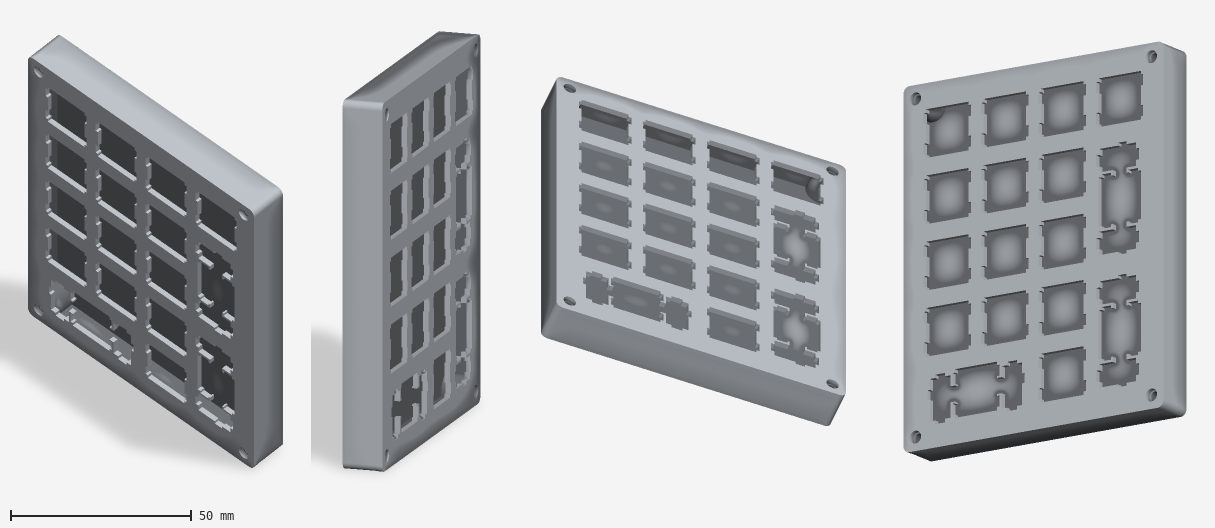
import cadquery as cq
WIDTH = 86.2
HEIGHT = 105.2
DEPTH = 11.6
PLATE_THICKNESS = 1.6
CORNER_RADIUS = 2.0

CASE_BOTTOM_GAP = 0.1

CASE_WALL = 3.0
CASE_FLOOR = 3.0
BOSS_RADIUS = 4.7

SCREW_INSET = 4.0
PLATE_HOLE_DIAMETER = 3.7
CASE_HOLE_DIAMETER = 2.7

KEY_PITCH = 19.0
LEFT_COLUMNS = (-1.5, -0.5, 0.5)
FULL_ROWS = (-1, 0, 1, 2)
SINGLE_KEYS = [(column, row) for column in LEFT_COLUMNS for row in FULL_ROWS] + [(1.5, 2), (0.5, -2)]
WIDE_KEYS = [(-1, -2)]
TALL_KEYS = [(1.5, 0.5), (1.5, -1.5)]

SWITCH_SIZE = 14.0
NOTCH_DEPTH = 0.8
NOTCH_HEIGHT = 3.2
NOTCH_OFFSET = 4.4

STABILIZER_OFFSET = 11.9
STABILIZER_WIDTH = 6.7
STABILIZER_TOP = 5.5
STABILIZER_BOTTOM = -6.7
CLIP_WIDTH = 3.3
CLIP_TOP = 6.4
CLIP_BOTTOM = -7.8
BRIDGE_HALF_HEIGHT = 2.3
SIDE_CLIP_REACH = 4.2
SIDE_CLIP_BOTTOM = -0.5

PLATE_BACK = PLATE_THICKNESS
CAVITY_BACK = DEPTH - CASE_FLOOR
SCREW_X = WIDTH / 2 - SCREW_INSET
SCREW_Z = HEIGHT / 2 - SCREW_INSET
SCREW_POINTS = [(x, z) for x in (-SCREW_X, SCREW_X) for z in (-SCREW_Z, SCREW_Z)]


def block(x_min, x_max, z_min, z_max, y_min=0.0, y_max=PLATE_THICKNESS):
    """Box given by its limits; by default it spans the plate thickness."""
    size = (x_max - x_min, y_max - y_min, z_max - z_min)
    return cq.Workplane("XY").box(*size, centered=False).translate((x_min, y_min, z_min))


def rounded_slab(z_min, y_min, y_max):
    """Slab of full width from z_min to the top, with its four corners rounded."""
    slab = block(-WIDTH / 2, WIDTH / 2, z_min, HEIGHT / 2, y_min, y_max)
    return slab.edges("|Y").fillet(CORNER_RADIUS)


def corner_cylinders(radius, y_min, y_max):
    """One cylinder along Y at each screw position."""
    plane = cq.Workplane("XZ", origin=(0, y_min, 0))
    return plane.pushPoints(SCREW_POINTS).circle(radius).extrude(y_min - y_max)


def switch_cutter():
    """Switch opening centred on the origin."""
    half = SWITCH_SIZE / 2
    reach = half + NOTCH_DEPTH
    cutter = block(-half, half, -half, half)
    for center in (-NOTCH_OFFSET, NOTCH_OFFSET):
        notch = block(-reach, reach, center - NOTCH_HEIGHT / 2, center + NOTCH_HEIGHT / 2)
        cutter = cutter.union(notch)
    return cutter


def wide_key_cutter():
    """Switch opening joined by a bridge to a stabilizer opening on each side."""
    cutter = switch_cutter()
    bridge = block(-STABILIZER_OFFSET, STABILIZER_OFFSET, -BRIDGE_HALF_HEIGHT, BRIDGE_HALF_HEIGHT)
    cutter = cutter.union(bridge)
    side_reach = STABILIZER_OFFSET + SIDE_CLIP_REACH
    cutter = cutter.union(block(-side_reach, side_reach, SIDE_CLIP_BOTTOM, BRIDGE_HALF_HEIGHT))
    for center in (-STABILIZER_OFFSET, STABILIZER_OFFSET):
        pad_half = STABILIZER_WIDTH / 2
        clip_half = CLIP_WIDTH / 2
        pad = block(center - pad_half, center + pad_half, STABILIZER_BOTTOM, STABILIZER_TOP)
        clip = block(center - clip_half, center + clip_half, CLIP_BOTTOM, CLIP_TOP)
        cutter = cutter.union(pad).union(clip)
    return cutter


def cut_at_keys(body, cutter, keys):
    """Cut one opening at each listed place of the key grid."""
    for column, row in keys:
        body = body.cut(cutter.translate((column * KEY_PITCH, 0, row * KEY_PITCH)))
    return body


def make_plate():
    """Plate with its screw holes and key openings."""
    plate = rounded_slab(-HEIGHT / 2, 0, PLATE_BACK)
    plate = plate.cut(corner_cylinders(PLATE_HOLE_DIAMETER / 2, 0, PLATE_BACK))
    wide_key = wide_key_cutter()
    tall_key = wide_key.rotate((0, 0, 0), (0, 1, 0), 90)
    plate = cut_at_keys(plate, switch_cutter(), SINGLE_KEYS)
    plate = cut_at_keys(plate, wide_key, WIDE_KEYS)
    return cut_at_keys(plate, tall_key, TALL_KEYS)


def make_case():
    """Open tray with a drilled boss in each corner."""
    cavity_x = WIDTH / 2 - CASE_WALL
    case_bottom = CASE_BOTTOM_GAP - HEIGHT / 2
    cavity_bottom = case_bottom + CASE_WALL
    cavity_top = HEIGHT / 2 - CASE_WALL
    cavity = block(-cavity_x, cavity_x, cavity_bottom, cavity_top, PLATE_BACK, CAVITY_BACK)
    cavity = cavity.cut(corner_cylinders(BOSS_RADIUS, PLATE_BACK, CAVITY_BACK))
    case = rounded_slab(case_bottom, PLATE_BACK, DEPTH).cut(cavity)
    return case.cut(corner_cylinders(CASE_HOLE_DIAMETER / 2, PLATE_BACK, DEPTH))


plate = make_plate()
case = make_case()
result = cq.Compound.makeCompound([plate.val(), case.val()])